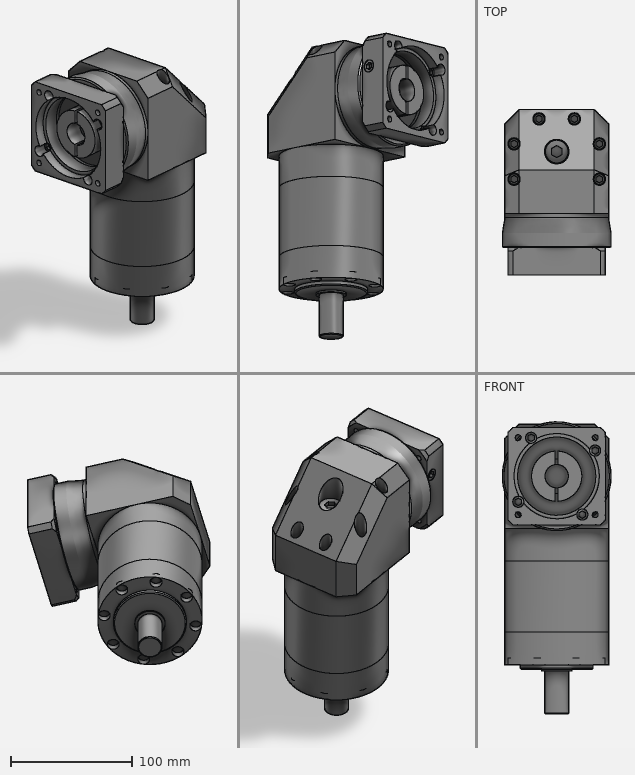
import cadquery as cq
import math


BODY_DIAMETER = 86.0
BODY_RADIUS = BODY_DIAMETER / 2
ELBOW_BEVEL = 50.0
ELBOW_EDGE_CHAMFER = 12.0
INPUT_BOSS_END = -46.0
NECK_END = -70.1

SCREW_COUNT = 8
SCREW_CIRCLE_RADIUS = 38.0
SCREW_STEP = 360 / SCREW_COUNT
SCREW_START = SCREW_STEP / 2
COUNTERBORE_RADIUS = 5.0
SCREW_HEAD_RADIUS = 4.3
SCREW_HEAD_HEIGHT = 5.8
SCREW_HEX_FLATS = 5.3
SCREW_HEX_DEPTH = 3.0
ELBOW_SCREW_SEAT = -29.0

PLUG_Y = 8.2
PLUG_SEAT = 10.8
PLUG_RECESS_RADIUS = 10.1
PLUG_RADIUS = 9.5
PLUG_HEIGHT = 6.0
PLUG_HEX_FLATS = 8.7
PLUG_HEX_DEPTH = 3.5

RING_GEAR_END = -128.7
OUTPUT_FACE = -155.7
PILOT_FACE = -159.3
COLLAR_END = -160.7
OUTPUT_SCREW_RADIUS = 4.8
PILOT_RADIUS = 30.1
PILOT_CHAMFER = 1.0
COLLAR_RADIUS = 12.5
SHAFT_DIAMETER = 20.0
SHAFT_RADIUS = SHAFT_DIAMETER / 2
SHAFT_CHAMFER = 0.7

ADAPTER_DIAMETER = 90.0
ADAPTER_RADIUS = ADAPTER_DIAMETER / 2
ADAPTER_CONE_START = -47.7
ADAPTER_CONE_END = -59.3
ADAPTER_FACE = -71.0
ADAPTER_CHAMFER_WIDTH = 1.5
ADAPTER_CHAMFER_DEPTH = 1.0
POCKET_FLOOR = -68.0

TOTAL_LENGTH = 241.0
SHAFT_END = ADAPTER_RADIUS - TOTAL_LENGTH

MOTOR_FACE = -93.7
PLATE_WIDTH = 80.5
PLATE_TURNED_RADIUS = 54.0
PLATE_BACK_CHAMFER = 2.7
SPIGOT_RADIUS = 35.2
SPIGOT_DEPTH = 9.2
PLATE_BORE_RADIUS = 32.3
MOTOR_HOLE_OFFSET = 31.8
MOTOR_HOLE_RADIUS = 2.5
PLATE_SCREW_COUNT = 4
PLATE_SCREW_ANGLE = 33.7
PLATE_SCREW_RADIUS = 4.5
PLATE_SCREW_DEPTH = 12.0
ACCESS_Y = -78.0
ACCESS_Z = 14.2
ACCESS_RADIUS = 5.0
ACCESS_DEPTH = 0.5
ACCESS_HEX_DEPTH = 3.5

HUB_FACE = -84.0
HUB_RADIUS = 20.7
HUB_BORE_RADIUS = 9.6
HUB_SLOT_WIDTH = 2.5
HUB_CORE_RADIUS = 14.2
HUB_CORE_SETBACK = 10.5


def z_cylinder(radius, bottom, top, x=0, y=0):
    return cq.Workplane("XY", origin=(x, y, bottom)).circle(radius).extrude(top - bottom)


def y_cylinder(radius, front, back, x=0, z=0):
    """Cylinder along Y from its front face (smaller Y) to its back face."""
    return cq.Workplane("XZ", origin=(x, back, z)).circle(radius).extrude(back - front)


def hexagon(workplane, flats, depth):
    """Hexagonal prism with two corners on the vertical axis of the workplane."""
    corners = flats / math.cos(math.radians(30))
    return workplane.transformed(rotate=(0, 0, 90)).polygon(6, corners).extrude(depth)


def socket_head(x, y, seat, radius, height, flats, hex_depth):
    """Upright screw head with a hexagon socket, standing on the level of its seat."""
    head = z_cylinder(radius, seat, seat + height, x, y)
    top = cq.Workplane("XY", origin=(x, y, seat + height))
    return head.cut(hexagon(top, flats, -hex_depth))


def screw_positions():
    for index in range(SCREW_COUNT):
        angle = math.radians(SCREW_START + index * SCREW_STEP)
        yield SCREW_CIRCLE_RADIUS * math.cos(angle), SCREW_CIRCLE_RADIUS * math.sin(angle)


def make_elbow():
    elbow = cq.Workplane("XY").box(BODY_DIAMETER, BODY_DIAMETER, BODY_DIAMETER)
    elbow = elbow.edges(">Y and >Z").chamfer(ELBOW_BEVEL)
    top_edges = elbow.faces(">Z").edges("|Y").vals()
    bevel_selector = cq.selectors.DirectionMinMaxSelector(cq.Vector(0, 1, 1))
    bevel_edges = elbow.faces(bevel_selector).edges("not |X").vals()
    back_edges = elbow.faces(">Y").edges("|Z").vals()
    elbow = elbow.newObject(top_edges + bevel_edges + back_edges).chamfer(ELBOW_EDGE_CHAMFER)
    elbow = elbow.union(y_cylinder(BODY_RADIUS, INPUT_BOSS_END, -BODY_RADIUS))
    elbow = elbow.union(z_cylinder(BODY_RADIUS, NECK_END, -BODY_RADIUS))
    return add_oil_plug(add_elbow_screws(elbow))


def add_elbow_screws(elbow):
    """Recessed screws of the circle, without the two nearest the motor side."""
    for x, y in screw_positions():
        if y < -SCREW_CIRCLE_RADIUS / 2:
            continue
        elbow = elbow.cut(z_cylinder(COUNTERBORE_RADIUS, ELBOW_SCREW_SEAT, BODY_RADIUS, x, y))
        head = socket_head(
            x, y, ELBOW_SCREW_SEAT, SCREW_HEAD_RADIUS, SCREW_HEAD_HEIGHT, SCREW_HEX_FLATS, SCREW_HEX_DEPTH
        )
        elbow = elbow.union(head)
    return elbow


def add_oil_plug(elbow):
    elbow = elbow.cut(z_cylinder(PLUG_RECESS_RADIUS, PLUG_SEAT, BODY_RADIUS, 0, PLUG_Y))
    plug = socket_head(0, PLUG_Y, PLUG_SEAT, PLUG_RADIUS, PLUG_HEIGHT, PLUG_HEX_FLATS, PLUG_HEX_DEPTH)
    return elbow.union(plug)


def make_ring_gear():
    return z_cylinder(BODY_RADIUS, RING_GEAR_END, NECK_END)


def make_output_housing():
    housing = z_cylinder(BODY_RADIUS, OUTPUT_FACE, RING_GEAR_END)
    pilot = z_cylinder(PILOT_RADIUS, PILOT_FACE, OUTPUT_FACE).faces("<Z").chamfer(PILOT_CHAMFER)
    housing = housing.union(pilot)
    for x, y in screw_positions():
        recess = z_cylinder(OUTPUT_SCREW_RADIUS, OUTPUT_FACE, OUTPUT_FACE + SCREW_HEAD_HEIGHT, x, y)
        housing = housing.cut(recess)
    return housing


def make_output_shaft():
    shaft = z_cylinder(SHAFT_RADIUS, SHAFT_END, PILOT_FACE).faces("<Z").chamfer(SHAFT_CHAMFER)
    return shaft.union(z_cylinder(COLLAR_RADIUS, COLLAR_END, PILOT_FACE))


def make_input_adapter():
    profile = [
        (0, INPUT_BOSS_END),
        (BODY_RADIUS, INPUT_BOSS_END),
        (BODY_RADIUS, ADAPTER_CONE_START),
        (ADAPTER_RADIUS, ADAPTER_CONE_END),
        (ADAPTER_RADIUS, ADAPTER_FACE + ADAPTER_CHAMFER_DEPTH),
        (ADAPTER_RADIUS - ADAPTER_CHAMFER_WIDTH, ADAPTER_FACE),
        (PLATE_BORE_RADIUS, ADAPTER_FACE),
        (PLATE_BORE_RADIUS, POCKET_FLOOR),
        (0, POCKET_FLOOR),
    ]
    return cq.Workplane("XY").polyline(profile).close().revolve(360, (0, 0), (0, 1))


def make_motor_plate():
    thickness = ADAPTER_FACE - MOTOR_FACE
    plate = cq.Workplane("XZ", origin=(0, ADAPTER_FACE, 0)).rect(PLATE_WIDTH, PLATE_WIDTH).extrude(thickness)
    turned = y_cylinder(PLATE_TURNED_RADIUS, MOTOR_FACE, ADAPTER_FACE).faces(">Y").chamfer(PLATE_BACK_CHAMFER)
    plate = plate.intersect(turned)
    plate = plate.cut(y_cylinder(SPIGOT_RADIUS, MOTOR_FACE, MOTOR_FACE + SPIGOT_DEPTH))
    plate = plate.cut(y_cylinder(PLATE_BORE_RADIUS, MOTOR_FACE, ADAPTER_FACE))
    for x in (-MOTOR_HOLE_OFFSET, MOTOR_HOLE_OFFSET):
        for z in (-MOTOR_HOLE_OFFSET, MOTOR_HOLE_OFFSET):
            plate = plate.cut(y_cylinder(MOTOR_HOLE_RADIUS, MOTOR_FACE, ADAPTER_FACE, x, z))
    return cut_access_plug(cut_plate_screws(plate))


def cut_plate_screws(plate):
    """Recessed socket screws that hold the plate to the adapter."""
    seat = MOTOR_FACE + PLATE_SCREW_DEPTH
    for index in range(PLATE_SCREW_COUNT):
        angle = math.radians(PLATE_SCREW_ANGLE + index * 360 / PLATE_SCREW_COUNT)
        x = SCREW_CIRCLE_RADIUS * math.cos(angle)
        z = SCREW_CIRCLE_RADIUS * math.sin(angle)
        plate = plate.cut(y_cylinder(PLATE_SCREW_RADIUS, MOTOR_FACE, seat, x, z))
        plate = plate.cut(hexagon(cq.Workplane("XZ", origin=(x, seat, z)), SCREW_HEX_FLATS, -SCREW_HEX_DEPTH))
    return plate


def cut_access_plug(plate):
    """Plug with a hexagon socket in the side, in line with the clamping hub."""
    side = cq.Workplane("YZ", origin=(-PLATE_WIDTH / 2, ACCESS_Y, ACCESS_Z))
    plate = plate.cut(side.circle(ACCESS_RADIUS).extrude(ACCESS_DEPTH))
    return plate.cut(hexagon(side, SCREW_HEX_FLATS, ACCESS_HEX_DEPTH))


def make_clamping_hub():
    """Split ring on an inner sleeve; the slot stops where the closed sleeve begins."""
    hub = y_cylinder(HUB_RADIUS, HUB_FACE, POCKET_FLOOR)
    slot = cq.Workplane("XZ", origin=(0, POCKET_FLOOR, 0)).rect(HUB_SLOT_WIDTH, 2 * HUB_RADIUS)
    slot = slot.extrude(POCKET_FLOOR - HUB_FACE)
    closed_sleeve = y_cylinder(HUB_CORE_RADIUS, HUB_FACE + HUB_CORE_SETBACK, POCKET_FLOOR)
    hub = hub.cut(slot.cut(closed_sleeve))
    return hub.cut(y_cylinder(HUB_BORE_RADIUS, HUB_FACE, POCKET_FLOOR))


elbow = make_elbow()
ring_gear = make_ring_gear()
output_housing = make_output_housing()
output_shaft = make_output_shaft()
input_adapter = make_input_adapter()
motor_plate = make_motor_plate()
clamping_hub = make_clamping_hub()

result = cq.Compound.makeCompound(
    [
        elbow.val(),
        ring_gear.val(),
        output_housing.val(),
        output_shaft.val(),
        input_adapter.val(),
        motor_plate.val(),
        clamping_hub.val(),
    ]
)